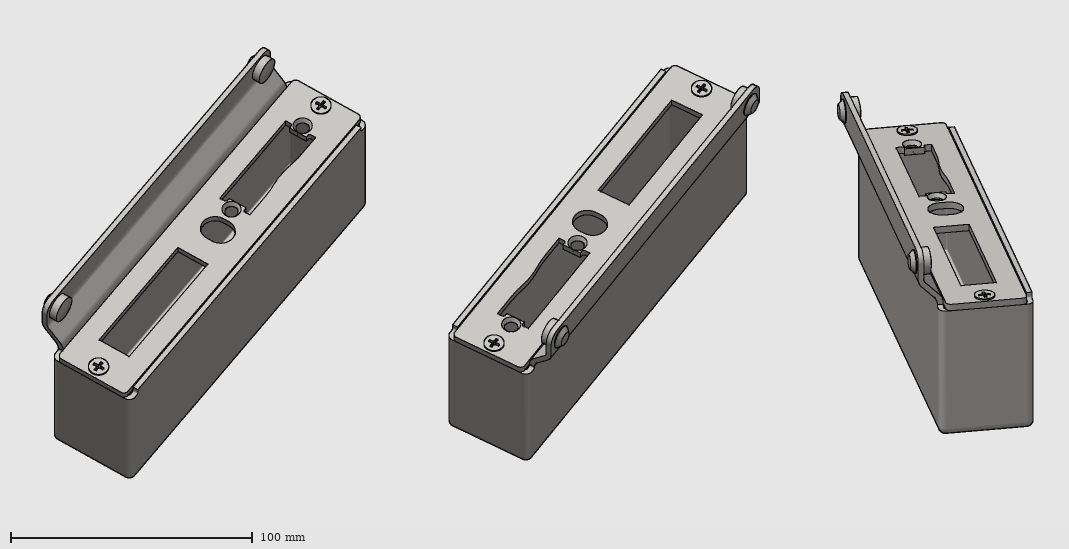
import cadquery as cq
import math

BOX_WIDTH = 40.0
BOX_LENGTH = 173.0
BOX_HEIGHT = 60.0
SHEET = 2.5
OUTER_RADIUS = 3.0
INNER_RADIUS = OUTER_RADIUS - SHEET
NOTCH_LENGTH = 5.0
NOTCH_RADIUS = 1.0

FLANGE_TOP = 82.0
FLANGE_OFFSET = 8.1
BEND_RADIUS = 5.0
FLANGE_CORNER_RADIUS = 5.0

COVER_THICKNESS = 3.0
COVER_GAP = 0.5
COVER_CORNER_RADIUS = 2.0

SLOT_WIDTH = 15.0
SLOT_X = -0.2
PLAIN_SLOT_LENGTH = 57.5
PLAIN_SLOT_Y = -40.8
LATCH_SLOT_LENGTH = 48.1
LATCH_SLOT_Y = 42.5
TAB_WIDTH = 8.5
TAB_REACH = 2.0
TAB_RADIUS = 0.9
BULGE_HALF_LENGTH = 13.8
BULGE_INFLECTION = 5.5
BULGE_HEIGHT = 1.0
TAB_HOLE_SPACING = 51.9
TAB_HOLE_X = -0.5
TAB_HOLE_THROAT_DIAMETER = 5.5
TAB_HOLE_TOP_DIAMETER = 8.0
TAB_HOLE_RELIEF_DIAMETER = 7.0
TAB_HOLE_RELIEF_DEPTH = 1.0
OVAL_LENGTH = 14.9
OVAL_WIDTH = 12.1
OVAL_X = 0.9
OVAL_Y = 4.7

SCREW_Y = 81.1
SCREW_HEAD_DIAMETER = 8.5
SCREW_HEAD_HEIGHT = 0.6
SCREW_SHANK_DIAMETER = 4.0
CROSS_LENGTH = 4.8
CROSS_WIDTH = 1.0
CROSS_DEPTH = 1.5

RIVET_Y = 74.0
RIVET_BELOW_TOP = 7.0
RIVET_TIP_DIAMETER = 6.0
RIVET_CONE_DIAMETER = 10.0
RIVET_CONE_LENGTH = 1.9
RIVET_COLLAR = 0.3
RIVET_HEAD_DIAMETER = 11.5
RIVET_HEAD_LENGTH = 3.5
RIVET_DOME = 0.9

WALL_OUTER = BOX_WIDTH / 2
WALL_INNER = WALL_OUTER - SHEET
BEND_TANGENT = math.tan(math.pi / 8)
BEND_START = BOX_HEIGHT - BEND_RADIUS * BEND_TANGENT
COVER_BOTTOM = BOX_HEIGHT - COVER_THICKNESS
FLANGE_LENGTH = BOX_LENGTH - 2 * NOTCH_LENGTH
FLANGE_FACE_X = -WALL_OUTER - FLANGE_OFFSET
RIVET_Z = FLANGE_TOP - RIVET_BELOW_TOP
SCREW_CONE_DEPTH = (SCREW_HEAD_DIAMETER - SCREW_SHANK_DIAMETER) / 2


def block(x_size, y_size, z_bottom, z_top, x=0, y=0):
    height = z_top - z_bottom
    return cq.Workplane("XY").box(x_size, y_size, height).translate((x, y, (z_bottom + z_top) / 2))


def build_tub():
    """Box with rounded corners and floor edges, hollow and open at the top."""
    outside = block(BOX_WIDTH, BOX_LENGTH, 0, BOX_HEIGHT).edges("|Z or <Z").fillet(OUTER_RADIUS)
    cavity = block(BOX_WIDTH - 2 * SHEET, BOX_LENGTH - 2 * SHEET, SHEET, BOX_HEIGHT + SHEET)
    return outside.cut(cavity.edges("|Z or <Z").fillet(INNER_RADIUS))


def lower_ends(tub):
    """Cut the ends down to the cover, rounding the feet of the long walls that stay."""
    for end in (-1, 1):
        wall_end = end * FLANGE_LENGTH / 2
        corner_end = end * BOX_LENGTH
        notch = (
            cq.Workplane("YZ")
            .moveTo(wall_end, BOX_HEIGHT + SHEET)
            .lineTo(wall_end, COVER_BOTTOM + NOTCH_RADIUS)
            .radiusArc((wall_end + end * NOTCH_RADIUS, COVER_BOTTOM), -end * NOTCH_RADIUS)
            .lineTo(corner_end, COVER_BOTTOM)
            .lineTo(corner_end, BOX_HEIGHT + SHEET)
            .close()
            .extrude(BOX_WIDTH, both=True)
        )
        tub = tub.cut(notch)
    return tub


def build_flange():
    """Strip mitred at its two 45 degree bends, then rounded at the bends and upper corners."""
    miter = SHEET * BEND_TANGENT
    low_bend = (-WALL_OUTER, BOX_HEIGHT)
    high_bend = (FLANGE_FACE_X, BOX_HEIGHT + FLANGE_OFFSET)
    low_bend_back = (-WALL_INNER, BOX_HEIGHT + miter)
    high_bend_back = (FLANGE_FACE_X + SHEET, BOX_HEIGHT + FLANGE_OFFSET + miter)
    outline = [
        (-WALL_OUTER, COVER_BOTTOM),
        low_bend,
        high_bend,
        (FLANGE_FACE_X, FLANGE_TOP),
        (FLANGE_FACE_X + SHEET, FLANGE_TOP),
        high_bend_back,
        low_bend_back,
        (-WALL_INNER, COVER_BOTTOM),
    ]
    strip = cq.Workplane("XZ").polyline(outline).close().extrude(FLANGE_LENGTH / 2, both=True)
    bend_radii = (
        (low_bend, BEND_RADIUS),
        (low_bend_back, BEND_RADIUS),
        (high_bend, BEND_RADIUS),
        (high_bend_back, BEND_RADIUS - SHEET),
    )
    for (x, z), radius in bend_radii:
        strip = strip.edges(cq.NearestToPointSelector((x, 0, z))).fillet(radius)
    return strip.edges("|X and >Z").fillet(FLANGE_CORNER_RADIUS)


def make_housing():
    """Tub and flange in one piece, with a hole and seat that match each rivet."""
    above_bend = block(2 * SHEET, BOX_LENGTH, BEND_START, FLANGE_TOP, x=-WALL_OUTER)
    housing = lower_ends(build_tub()).cut(above_bend).union(build_flange())
    for side in (-1, 1):
        housing = housing.cut(make_rivet(side * RIVET_Y))
    return housing


def latch_slot():
    """Slot with a wavy +X side and room left for a tab at each end."""
    half = LATCH_SLOT_LENGTH / 2
    right = SLOT_WIDTH / 2
    inflection_share = (BULGE_HALF_LENGTH - BULGE_INFLECTION) / BULGE_HALF_LENGTH
    inflection_x = right - BULGE_HEIGHT * inflection_share
    slot = (
        cq.Workplane("XY")
        .moveTo(-right, -half)
        .lineTo(right, -half)
        .lineTo(right, -BULGE_HALF_LENGTH)
        .tangentArcPoint((inflection_x, -BULGE_INFLECTION), relative=False)
        .tangentArcPoint((inflection_x, BULGE_INFLECTION), relative=False)
        .tangentArcPoint((right, BULGE_HALF_LENGTH), relative=False)
        .lineTo(right, half)
        .lineTo(-right, half)
        .close()
        .extrude(COVER_THICKNESS)
    )
    for end in (-1, 1):
        tab = block(TAB_WIDTH, 2 * TAB_REACH, 0, COVER_THICKNESS, y=end * half)
        slot = slot.cut(tab)
        for side in (-1, 1):
            root = (side * TAB_WIDTH / 2, end * half, COVER_THICKNESS / 2)
            slot = slot.edges("|Z").edges(cq.NearestToPointSelector(root)).fillet(TAB_RADIUS)
    return slot.translate((SLOT_X, LATCH_SLOT_Y, COVER_BOTTOM))


def tab_hole(y):
    """Tapered hole in a tab, wide at the top, with a short relief on the underside."""
    throat_z = COVER_BOTTOM + TAB_HOLE_RELIEF_DEPTH
    profile = (
        cq.Workplane("XZ")
        .moveTo(0, COVER_BOTTOM)
        .lineTo(TAB_HOLE_RELIEF_DIAMETER / 2, COVER_BOTTOM)
        .lineTo(TAB_HOLE_RELIEF_DIAMETER / 2, throat_z)
        .lineTo(TAB_HOLE_THROAT_DIAMETER / 2, throat_z)
        .lineTo(TAB_HOLE_TOP_DIAMETER / 2, BOX_HEIGHT)
        .lineTo(0, BOX_HEIGHT)
        .close()
    )
    return profile.revolve(360, (0, 0, 0), (0, 1, 0)).translate((TAB_HOLE_X, y, 0))


def screw_shank(y):
    """Shank and countersunk part of a screw, up to the cover's top face."""
    profile = (
        cq.Workplane("XZ")
        .moveTo(0, COVER_BOTTOM)
        .lineTo(SCREW_SHANK_DIAMETER / 2, COVER_BOTTOM)
        .lineTo(SCREW_SHANK_DIAMETER / 2, BOX_HEIGHT - SCREW_CONE_DEPTH)
        .lineTo(SCREW_HEAD_DIAMETER / 2, BOX_HEIGHT)
        .lineTo(0, BOX_HEIGHT)
        .close()
    )
    return profile.revolve(360, (0, 0, 0), (0, 1, 0)).translate((0, y, 0))


def make_cover():
    width = 2 * (WALL_INNER - COVER_GAP)
    cover = block(width, BOX_LENGTH, COVER_BOTTOM, BOX_HEIGHT).edges("|Z").fillet(COVER_CORNER_RADIUS)
    plain_slot = block(SLOT_WIDTH, PLAIN_SLOT_LENGTH, COVER_BOTTOM, BOX_HEIGHT, SLOT_X, PLAIN_SLOT_Y)
    underside = cq.Workplane("XY", origin=(OVAL_X, OVAL_Y, COVER_BOTTOM))
    oval = underside.slot2D(OVAL_LENGTH, OVAL_WIDTH).extrude(COVER_THICKNESS)
    cover = cover.cut(latch_slot()).cut(plain_slot).cut(oval)
    for side in (-1, 1):
        cover = cover.cut(tab_hole(LATCH_SLOT_Y + side * TAB_HOLE_SPACING / 2))
        cover = cover.cut(screw_shank(side * SCREW_Y))
    return cover


def make_screw(y):
    """Countersunk screw whose raised head has a cross recess."""
    head_top = BOX_HEIGHT + SCREW_HEAD_HEIGHT
    rim = cq.Workplane("XY", origin=(0, y, BOX_HEIGHT)).circle(SCREW_HEAD_DIAMETER / 2)
    screw = screw_shank(y).union(rim.extrude(SCREW_HEAD_HEIGHT))
    for x_size, y_size in ((CROSS_LENGTH, CROSS_WIDTH), (CROSS_WIDTH, CROSS_LENGTH)):
        screw = screw.cut(block(x_size, y_size, head_top - CROSS_DEPTH, head_top, y=y))
    return screw


def make_rivet(y):
    """Turned about an axis along X: cone tip outside the flange, domed head inside."""
    tip = -RIVET_CONE_LENGTH - RIVET_COLLAR
    head_end = SHEET + RIVET_HEAD_LENGTH
    cap_radius = ((RIVET_HEAD_DIAMETER / 2) ** 2 + RIVET_DOME ** 2) / (2 * RIVET_DOME)
    profile = (
        cq.Workplane("XY")
        .moveTo(tip, 0)
        .lineTo(tip, RIVET_TIP_DIAMETER / 2)
        .lineTo(-RIVET_COLLAR, RIVET_CONE_DIAMETER / 2)
        .lineTo(0, RIVET_CONE_DIAMETER / 2)
        .lineTo(0, RIVET_TIP_DIAMETER / 2)
        .lineTo(SHEET, RIVET_TIP_DIAMETER / 2)
        .lineTo(SHEET, RIVET_HEAD_DIAMETER / 2)
        .lineTo(head_end, RIVET_HEAD_DIAMETER / 2)
        .radiusArc((head_end + RIVET_DOME, 0), cap_radius)
        .close()
    )
    return profile.revolve(360, (0, 0, 0), (1, 0, 0)).translate((FLANGE_FACE_X, y, RIVET_Z))


housing = make_housing()
cover = make_cover()
screws = [make_screw(side * SCREW_Y).val() for side in (-1, 1)]
rivets = [make_rivet(side * RIVET_Y).val() for side in (-1, 1)]

result = cq.Compound.makeCompound([housing.val(), cover.val(), *screws, *rivets])